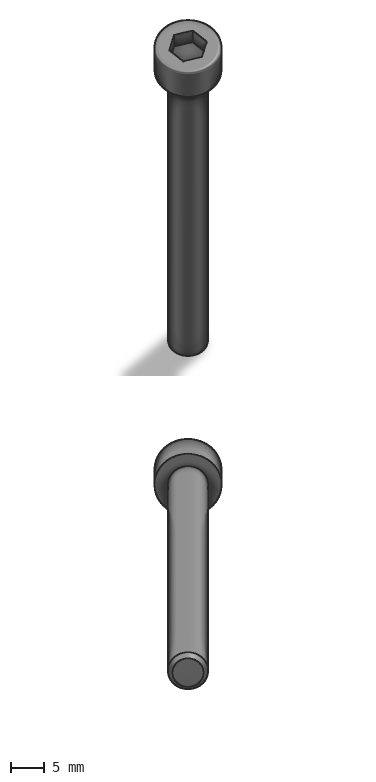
import cadquery as cq
import math

total_length = 76.0
head_diameter = 10.0
head_height = 6.0
head_edge_radius = 0.5
shank_diameter = 6.0
tip_chamfer = 0.7
socket_across_flats = 5.0
socket_depth = 3.0

shank_length = total_length - head_height
socket_across_corners = socket_across_flats / math.cos(math.pi / 6)


def make_shank():
    """Plain cylinder with a chamfered lower tip."""
    shank = cq.Workplane("XY").circle(shank_diameter / 2).extrude(shank_length)
    return shank.faces("<Z").chamfer(tip_chamfer)


def make_head():
    """Cylindrical head with a rounded top rim."""
    head = cq.Workplane("XY").workplane(offset=shank_length)
    head = head.circle(head_diameter / 2).extrude(head_height)
    return head.faces(">Z").edges().fillet(head_edge_radius)


def make_socket():
    """Blind hexagonal key socket with two corners on the X axis."""
    socket = cq.Workplane("XY").workplane(offset=total_length)
    return socket.polygon(6, socket_across_corners).extrude(-socket_depth)


screw = make_shank().union(make_head()).cut(make_socket())
result = screw.translate((0, 0, -total_length / 2))